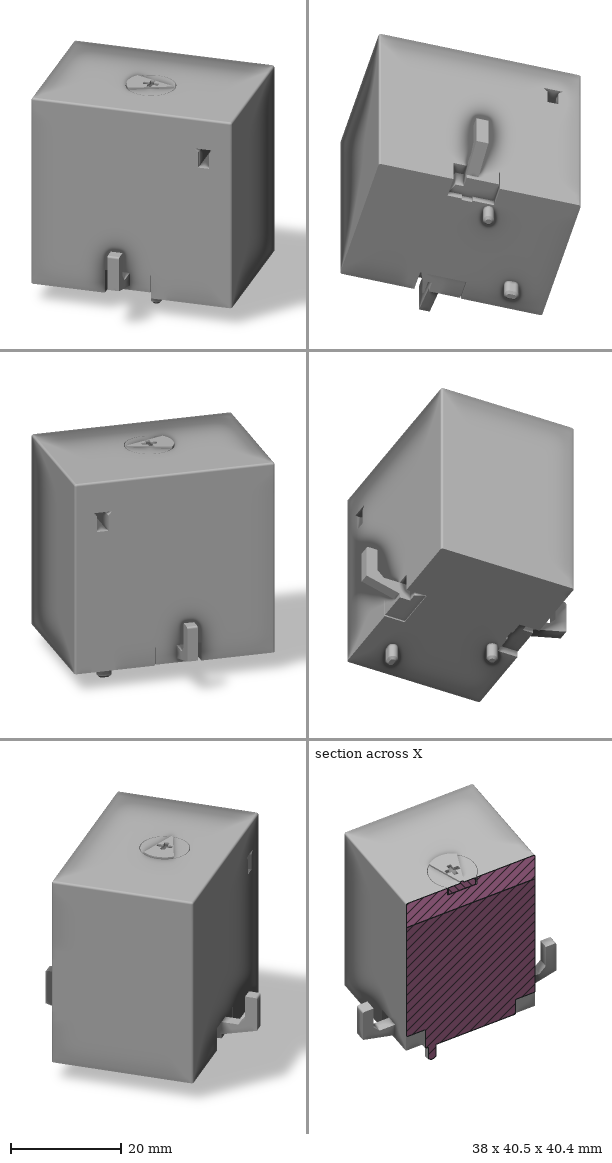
import cadquery as cq
import math

width = 38.0
depth = 27.0
height = 36.85
latch_reach = 20.25
seam_z = 30.95
edge_radius = 0.4
front_y = -depth / 2

slot_x = 13.7
slot_width = 1.95
slot_wall_width = 2.1
slot_depth = 3.73
slot_flare = 0.73
wall_thickness = 0.97

pocket_left = -5.02
pocket_right = 3.75
pocket_depth = 4.05
latch_top = 4.55
latch_bottom = 1.17
latch_right = 3.6
step_left = -4.0
step_depth = 2.1
block_rear_left = -4.8
arm_right = -0.3
front_arm_left = -2.5
rear_arm_left = -2.25
arm_root_z = 2.02
arm_elbow_z = 3.8
arm_tip_z = 10.45
arm_thickness = 2.23
arm_gusset = 1.3
arm_tip_radius = 0.35
rear_latch_drop = 1.0

groove_depth = 0.32

pin_length = 3.2
pin_chamfer = 0.45
pin_offset_y = 8.0
round_pin_x = 3.08
round_pin_diameter = 2.02
long_pin_x = 11.75
long_pin_length = 2.7
long_pin_width = 1.85
long_pin_flat = 0.73

dial_x = 0.15
dial_y = -1.8
dial_radius = 4.5
dial_clearance = 0.1
dial_thickness = 1.6
arrow_height = 0.35
arrow_half_angle = math.radians(40)
cross_length = 2.88
cross_width = 0.9
cross_depth = 0.65


def box(x_min, x_max, y_min, y_max, z_min, z_max):
    """Block between two opposite corners."""
    size = (x_max - x_min, y_max - y_min, z_max - z_min)
    return cq.Workplane("XY").box(*size, centered=False).translate((x_min, y_min, z_min))


def housing_block(z_min, z_max):
    """Layer of the housing with its four upright edges rounded."""
    block = box(-width / 2, width / 2, front_y, -front_y, z_min, z_max)
    return block.edges("|Z").fillet(edge_radius)


def dial_disk(radius):
    """Disk at the dial's place, its top flush with the cover."""
    disk = cq.Workplane("XY").circle(radius).extrude(dial_thickness)
    return disk.translate((dial_x, dial_y, height - dial_thickness))


def make_cover():
    """Upper housing with rounded top edges and a round recess for the dial."""
    cover = housing_block(seam_z, height).faces(">Z").edges().fillet(edge_radius)
    return cover.cut(dial_disk(dial_radius + dial_clearance))


def make_dial():
    """Disk with a raised arrow pointing to +X and a cross-shaped recess."""
    tail_x = -dial_radius * math.cos(arrow_half_angle)
    tail_y = dial_radius * math.sin(arrow_half_angle)
    arrow = (
        cq.Workplane("XY")
        .moveTo(dial_radius, 0)
        .lineTo(tail_x, tail_y)
        .threePointArc((-dial_radius, 0), (tail_x, -tail_y))
        .close()
        .extrude(arrow_height)
    )
    cross = (
        cq.Workplane("XY")
        .rect(cross_length, cross_width)
        .extrude(-cross_depth)
        .union(cq.Workplane("XY").rect(cross_width, cross_length).extrude(-cross_depth))
    )
    dial = dial_disk(dial_radius).union(arrow.translate((dial_x, dial_y, height)))
    return dial.cut(cross.translate((dial_x, dial_y, height + arrow_height)))


def slot_cutter(slot_size, y_min, y_max):
    """Slot open at the seam, with 45-degree flares at its mouth."""
    half = slot_size / 2
    floor_z = seam_z - slot_depth
    neck_z = seam_z - slot_flare
    return (
        cq.Workplane("XZ", origin=(0, y_max, 0))
        .polyline([
            (slot_x - half, floor_z),
            (slot_x + half, floor_z),
            (slot_x + half, neck_z),
            (slot_x + half + slot_flare, seam_z),
            (slot_x - half - slot_flare, seam_z),
            (slot_x - half, neck_z),
        ])
        .close()
        .extrude(y_max - y_min)
    )


def round_pin():
    return cq.Workplane("XY").circle(round_pin_diameter / 2).extrude(-pin_length)


def long_pin():
    """Pin with two flat sides and rounded ends."""
    half_flat = long_pin_flat / 2
    half_width = long_pin_width / 2
    half_length = long_pin_length / 2
    return (
        cq.Workplane("XY")
        .moveTo(-half_flat, half_width)
        .lineTo(half_flat, half_width)
        .threePointArc((half_length, 0), (half_flat, -half_width))
        .lineTo(-half_flat, -half_width)
        .threePointArc((-half_length, 0), (-half_flat, half_width))
        .close()
        .extrude(-pin_length)
    )


def make_base():
    """Lower housing with latch pockets in its front and rear, and its two pins."""
    back_y = front_y + pocket_depth
    pocket = box(pocket_left, pocket_right, front_y, back_y, 0, latch_top)
    groove = box(rear_arm_left, arm_right, back_y, back_y + groove_depth, 0, latch_bottom)
    rear_pocket = box(pocket_left, pocket_right, -back_y, -front_y, 0, latch_top - rear_latch_drop)

    base = housing_block(0, seam_z)
    base = base.cut(slot_cutter(slot_width, front_y, -front_y))
    for wall_y in (front_y, -front_y - wall_thickness):
        base = base.cut(slot_cutter(slot_wall_width, wall_y, wall_y + wall_thickness))
    base = base.cut(pocket).cut(groove).cut(rear_pocket)

    pin_places = [(round_pin(), round_pin_x, -pin_offset_y), (long_pin(), long_pin_x, pin_offset_y)]
    for pin, x, y in pin_places:
        tapered_pin = pin.faces("<Z").chamfer(pin_chamfer)
        base = base.union(tapered_pin.translate((x, y, 0)))
    return base


def make_latch(arm_left):
    """Front latch: stepped block in the pocket and an upturned arm outside."""
    back_y = front_y + pocket_depth
    step_y = front_y + step_depth
    block = (
        cq.Workplane("XY", origin=(0, 0, latch_bottom))
        .polyline([
            (arm_left, front_y),
            (latch_right, front_y),
            (latch_right, back_y),
            (block_rear_left, back_y),
            (step_left, step_y),
            (arm_left, step_y),
        ])
        .close()
        .extrude(latch_top - latch_bottom)
    )
    inner_y = arm_thickness - latch_reach
    arm = (
        cq.Workplane("YZ", origin=(arm_left, 0, 0))
        .polyline([
            (front_y, arm_root_z),
            (-latch_reach, arm_elbow_z),
            (-latch_reach, arm_tip_z),
            (inner_y, arm_tip_z),
            (inner_y, latch_top + arm_gusset),
            (inner_y + arm_gusset, latch_top),
            (front_y, latch_top),
        ])
        .close()
        .extrude(arm_right - arm_left)
    )
    arm = arm.faces(">Z").edges("<Y").fillet(arm_tip_radius)
    return block.union(arm)


cover = make_cover()
dial = make_dial()
base = make_base()
front_latch = make_latch(front_arm_left)
rear_latch = make_latch(rear_arm_left).mirror("XZ").translate((0, 0, -rear_latch_drop))

result = cq.Compound.makeCompound([
    cover.val(),
    dial.val(),
    base.val(),
    front_latch.val(),
    rear_latch.val(),
])